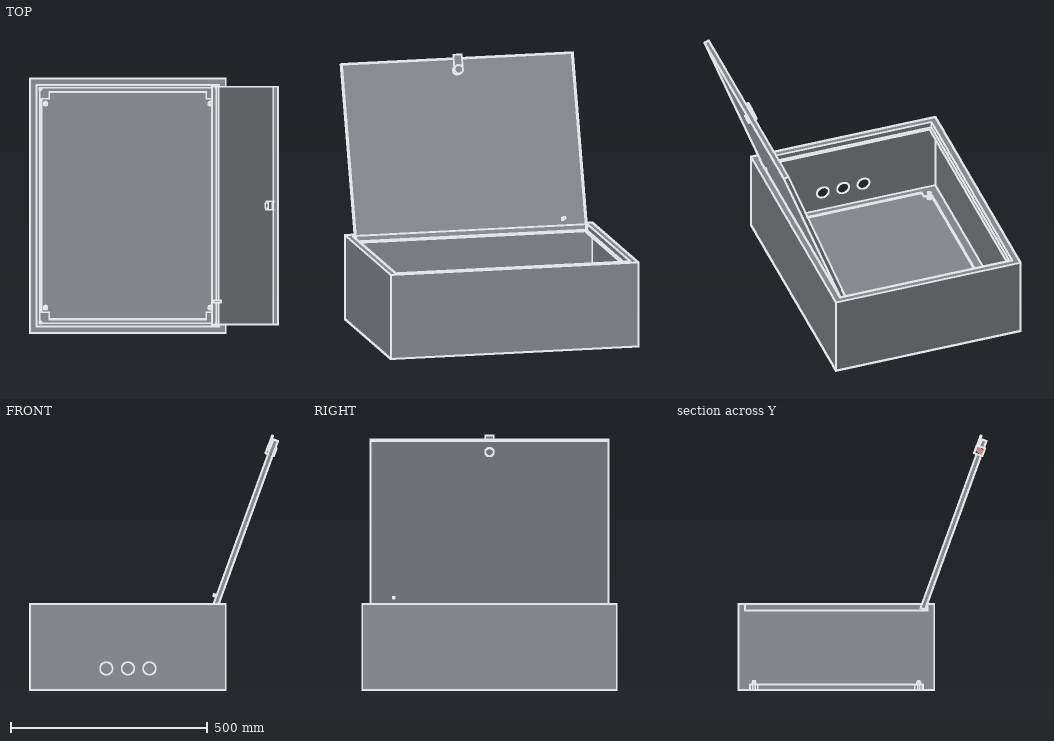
import cadquery as cq
import math

LENGTH_X = 500.0
WIDTH_Y = 650.0
HEIGHT = 220.0
SHEET = 1.0
RIM = 17.8
RECESS_DEPTH = 16.5
LEDGE_EDGE = 25.0

CABLE_HOLE_DIAMETER = 32.0
CABLE_HOLE_PITCH = 55.0
CABLE_HOLE_COUNT = 3
CABLE_HOLE_HEIGHT = 55.0

MOUNT_HOLE_DIAMETER = 8.0
MOUNT_HOLE_INSET = 26.0

PLATE_GAP_X = 29.0
PLATE_GAP_Y = 34.5
PLATE_HEIGHT = 14.0
PLATE_SHEET = 2.0
NOTCH_EDGE_X = 50.0
NOTCH_EDGE_Y = 53.0

SCREW_GAP_X = 40.0
SCREW_GAP_Y = 65.0
SCREW_DIAMETER = 6.0
SCREW_TIP_HEIGHT = 3.0
COLLAR_DIAMETER = 11.5
COLLAR_HEIGHT = 5.0

DOOR_LENGTH = 458.5
DOOR_WIDTH = 607.0
DOOR_THICKNESS = 13.0
DOOR_LEAN = 20.0
LATCH_END_X = 633.17
LATCH_END_Z = 635.0

PIN_DIAMETER = 6.0
PIN_LENGTH = 19.5
PIN_FROM_HINGE_END = 33.0
PIN_Y = -244.0

LOCK_DIAMETER = 22.0
LOCK_FROM_LATCH_END = 30.0
LOCK_OUTER_LENGTH = 3.0
LOCK_INNER_LENGTH = 20.0
BAR_THICKNESS = 3.0
BAR_OFFSET = 16.5
TOP_Z = 649.3


def block(x_min, x_max, y_half, z_min, z_max):
    """Box between two X and two Z positions, symmetric in Y."""
    return (
        cq.Workplane("XY")
        .box(x_max - x_min, 2 * y_half, z_max - z_min, centered=(False, True, False))
        .translate((x_min, 0, z_min))
    )


def make_housing():
    half_y = WIDTH_Y / 2
    ledge_z = HEIGHT - RECESS_DEPTH
    recess_start = RIM
    recess_end = LENGTH_X - RIM
    recess_half_y = half_y - RIM

    body = block(0, LENGTH_X, half_y, 0, HEIGHT)
    body = body.cut(block(SHEET, LENGTH_X - SHEET, half_y - SHEET, SHEET, HEIGHT - SHEET))
    body = body.union(
        block(recess_start - SHEET, recess_end + SHEET, recess_half_y + SHEET, ledge_z - SHEET, HEIGHT)
    )
    body = body.cut(block(recess_start, recess_end, recess_half_y, ledge_z, HEIGHT))
    body = body.cut(
        block(LEDGE_EDGE, LENGTH_X - LEDGE_EDGE, half_y - LEDGE_EDGE, ledge_z - SHEET, HEIGHT)
    )

    cable_holes = (
        cq.Workplane("XZ", origin=(LENGTH_X / 2, -half_y, CABLE_HOLE_HEIGHT))
        .rarray(CABLE_HOLE_PITCH, 1, CABLE_HOLE_COUNT, 1)
        .circle(CABLE_HOLE_DIAMETER / 2)
        .extrude(-SHEET)
    )

    wall_mount_holes = (
        cq.Workplane("XY", origin=(LENGTH_X / 2, 0, 0))
        .rarray(LENGTH_X - 2 * MOUNT_HOLE_INSET, WIDTH_Y - 2 * MOUNT_HOLE_INSET, 2, 2)
        .circle(MOUNT_HOLE_DIAMETER / 2)
        .extrude(SHEET)
    )
    return body.cut(cable_holes).cut(wall_mount_holes)


def screw_positions():
    offset_y = WIDTH_Y / 2 - SCREW_GAP_Y
    return [(x, y) for x in (SCREW_GAP_X, LENGTH_X - SCREW_GAP_X) for y in (-offset_y, offset_y)]


def make_plate():
    half_y = WIDTH_Y / 2 - PLATE_GAP_Y
    top = SHEET + PLATE_HEIGHT
    plate = block(PLATE_GAP_X, LENGTH_X - PLATE_GAP_X, half_y, SHEET, top)
    inside = block(
        PLATE_GAP_X + PLATE_SHEET,
        LENGTH_X - PLATE_GAP_X - PLATE_SHEET,
        half_y - PLATE_SHEET,
        SHEET,
        top - PLATE_SHEET,
    )
    plate = plate.cut(inside)

    notch_centers = [(x, y) for x in (0, LENGTH_X) for y in (-WIDTH_Y / 2, WIDTH_Y / 2)]
    notches = (
        cq.Workplane("XY", origin=(0, 0, SHEET))
        .pushPoints(notch_centers)
        .rect(2 * NOTCH_EDGE_X, 2 * NOTCH_EDGE_Y)
        .extrude(PLATE_HEIGHT)
    )
    screw_holes = (
        cq.Workplane("XY", origin=(0, 0, SHEET))
        .pushPoints(screw_positions())
        .circle(SCREW_DIAMETER / 2)
        .extrude(PLATE_HEIGHT)
    )
    return plate.cut(notches).cut(screw_holes)


def make_screw(x, y):
    shank_length = PLATE_HEIGHT + COLLAR_HEIGHT + SCREW_TIP_HEIGHT
    shank = cq.Workplane("XY", origin=(x, y, SHEET)).circle(SCREW_DIAMETER / 2).extrude(shank_length)
    collar = (
        cq.Workplane("XY", origin=(x, y, SHEET + PLATE_HEIGHT))
        .transformed(rotate=(0, 0, 90))
        .polygon(6, COLLAR_DIAMETER)
        .extrude(COLLAR_HEIGHT)
    )
    return shank.union(collar)


def door_plane(inward=0.0):
    """Plane parallel to the door: local X runs up the door, the normal points to its inner side.

    The origin is on the door's outer face at the latch end, moved inward by the given distance.
    """
    lean = math.radians(DOOR_LEAN)
    up_door = (math.sin(lean), 0, math.cos(lean))
    normal = (-math.cos(lean), 0, math.sin(lean))
    origin = (LATCH_END_X + inward * normal[0], 0, LATCH_END_Z + inward * normal[2])
    return cq.Workplane(cq.Plane(origin=origin, xDir=up_door, normal=normal))


def make_door():
    middle = -DOOR_LENGTH / 2
    pan = door_plane().center(middle, 0).rect(DOOR_LENGTH, DOOR_WIDTH).extrude(DOOR_THICKNESS)
    hollow = (
        door_plane(SHEET)
        .center(middle, 0)
        .rect(DOOR_LENGTH - 2 * SHEET, DOOR_WIDTH - 2 * SHEET)
        .extrude(DOOR_THICKNESS)
    )
    pin = (
        door_plane(SHEET)
        .center(PIN_FROM_HINGE_END - DOOR_LENGTH, PIN_Y)
        .circle(PIN_DIAMETER / 2)
        .extrude(PIN_LENGTH)
    )
    lock_hole = door_plane().center(-LOCK_FROM_LATCH_END, 0).circle(LOCK_DIAMETER / 2).extrude(SHEET)
    return pan.cut(hollow).union(pin).cut(lock_hole)


def make_lock():
    cylinder = (
        door_plane(-LOCK_OUTER_LENGTH)
        .center(-LOCK_FROM_LATCH_END, 0)
        .circle(LOCK_DIAMETER / 2)
        .extrude(LOCK_OUTER_LENGTH + LOCK_INNER_LENGTH)
    )
    lean = math.radians(DOOR_LEAN)
    bar_inner_face = BAR_OFFSET + BAR_THICKNESS
    overhang = (TOP_Z - LATCH_END_Z - bar_inner_face * math.sin(lean)) / math.cos(lean)
    bar_length = LOCK_FROM_LATCH_END + overhang
    bar = (
        door_plane(BAR_OFFSET)
        .center(overhang - bar_length / 2, 0)
        .rect(bar_length, LOCK_DIAMETER)
        .extrude(BAR_THICKNESS)
    )
    return cylinder.union(bar)


housing = make_housing()
mounting_plate = make_plate()
screws = [make_screw(x, y) for x, y in screw_positions()]
door = make_door()
lock = make_lock()

result = cq.Compound.makeCompound(
    [housing.val(), mounting_plate.val(), *[screw.val() for screw in screws], door.val(), lock.val()]
)